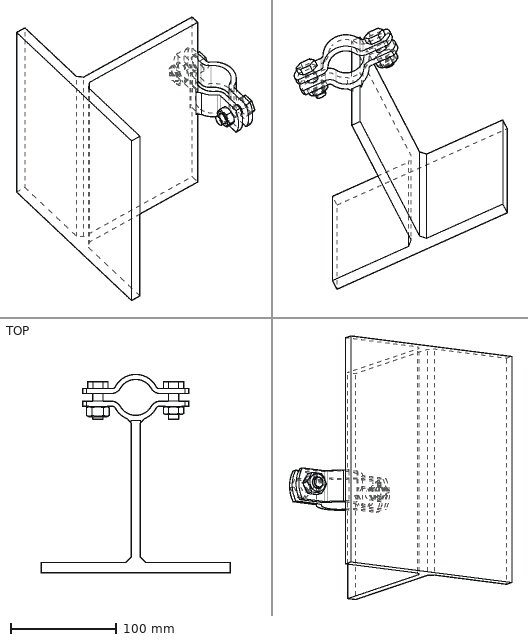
import cadquery as cq
import math

PLATE_WIDTH = 180.0
PLATE_HEIGHT = 220.0
PLATE_THICKNESS = 10.0
WEB_THICKNESS = 9.0
WEB_END_Y = 145.0
OVERALL_DEPTH = 188.93
PLATE_WELD_LEG = 5.0

RING_INNER_RADIUS = 17.0
STRAP_THICKNESS = 5.0
RING_OUTER_RADIUS = RING_INNER_RADIUS + STRAP_THICKNESS
RING_CENTER_Y = OVERALL_DEPTH - RING_OUTER_RADIUS
STRAP_WIDTH = 30.0
EAR_GAP = 7.0
EAR_TIP_X = 50.7
EAR_END_RADIUS = 30.0
CONCAVE_BEND_RADIUS = 3.0
CONVEX_BEND_RADIUS = 10.0
EAR_INNER = EAR_GAP / 2
EAR_OUTER = EAR_INNER + STRAP_THICKNESS

CLAMP_WELD_RING_X = 8.2
CLAMP_WELD_WEB_Y = 142.5

BOLT_X = 36.0
BOLT_DIAMETER = 10.0
BOLT_TIP_DIAMETER = 9.19
BOLT_TIP_Y = 145.8
HEAD_FLATS = 17.0
HEAD_HEIGHT = 6.4
SMALL_NUT_FLATS = 17.0
SMALL_NUT_HEIGHT = 8.0
SMALL_NUT_FACE_DIAMETER = 15.4
LARGE_NUT_FLATS = 19.0
LARGE_NUT_HEIGHT = 10.0
LARGE_NUT_FACE_DIAMETER = 17.2
NUT_CHAMFER_ANGLE = 30.0
COUNTERSINK_DIAMETER = 11.5
HEAD_SEAT_Y = RING_CENTER_Y + EAR_OUTER
NUT_SEAT_Y = RING_CENTER_Y - EAR_OUTER


def make_t_section():
    """Plate, web and the two flat welds in their inner corners, extruded along Z."""
    half_plate = PLATE_WIDTH / 2
    half_web = WEB_THICKNESS / 2
    weld_x = half_web + PLATE_WELD_LEG
    weld_y = PLATE_THICKNESS + PLATE_WELD_LEG
    return (
        cq.Workplane("XY", origin=(0, 0, -PLATE_HEIGHT / 2))
        .moveTo(-half_plate, 0)
        .lineTo(half_plate, 0)
        .lineTo(half_plate, PLATE_THICKNESS)
        .lineTo(weld_x, PLATE_THICKNESS)
        .lineTo(half_web, weld_y)
        .lineTo(half_web, WEB_END_Y)
        .lineTo(-half_web, WEB_END_Y)
        .lineTo(-half_web, weld_y)
        .lineTo(-weld_x, PLATE_THICKNESS)
        .lineTo(-half_plate, PLATE_THICKNESS)
        .close()
        .extrude(PLATE_HEIGHT)
    )


def mirror_x(point):
    return -point[0], point[1]


def bend_points(ear_y, bend_radius, ring_radius):
    """Start, middle and end of the bend arc tangent to an ear face and a ring arc about the origin."""
    center_distance = ring_radius + bend_radius
    center_y = ear_y + bend_radius
    center_x = math.sqrt(center_distance**2 - center_y**2)
    ring_angle = math.atan2(center_y, center_x)
    middle_angle = math.pi + (ring_angle + math.pi / 2) / 2
    middle_x = center_x + bend_radius * math.cos(middle_angle)
    middle_y = center_y + bend_radius * math.sin(middle_angle)
    joint = (ring_radius * math.cos(ring_angle), ring_radius * math.sin(ring_angle))
    return (center_x, ear_y), (middle_x, middle_y), joint


def make_rear_strap():
    """Strap on the +Y side, its ears rounded at the ends when seen along Y."""
    inner_bend_start, inner_bend, inner_joint = bend_points(EAR_INNER, CONVEX_BEND_RADIUS, RING_INNER_RADIUS)
    outer_bend_start, outer_bend, outer_joint = bend_points(EAR_OUTER, CONCAVE_BEND_RADIUS, RING_OUTER_RADIUS)
    strap = (
        cq.Workplane("XY", origin=(0, RING_CENTER_Y, -STRAP_WIDTH / 2))
        .moveTo(-EAR_TIP_X, EAR_OUTER)
        .lineTo(*mirror_x(outer_bend_start))
        .threePointArc(mirror_x(outer_bend), mirror_x(outer_joint))
        .threePointArc((0, RING_OUTER_RADIUS), outer_joint)
        .threePointArc(outer_bend, outer_bend_start)
        .lineTo(EAR_TIP_X, EAR_OUTER)
        .lineTo(EAR_TIP_X, EAR_INNER)
        .lineTo(*inner_bend_start)
        .threePointArc(inner_bend, inner_joint)
        .threePointArc((0, RING_INNER_RADIUS), mirror_x(inner_joint))
        .threePointArc(mirror_x(inner_bend), mirror_x(inner_bend_start))
        .lineTo(-EAR_TIP_X, EAR_INNER)
        .close()
        .extrude(STRAP_WIDTH)
    )
    half_width = STRAP_WIDTH / 2
    end_depth = EAR_END_RADIUS - math.sqrt(EAR_END_RADIUS**2 - half_width**2)
    corner_x = EAR_TIP_X - end_depth
    ear_outline = (
        cq.Workplane("XZ", origin=(0, RING_CENTER_Y, 0))
        .moveTo(-corner_x, half_width)
        .lineTo(corner_x, half_width)
        .threePointArc((EAR_TIP_X, 0), (corner_x, -half_width))
        .lineTo(-corner_x, -half_width)
        .threePointArc((-EAR_TIP_X, 0), (-corner_x, half_width))
        .close()
        .extrude(-2 * RING_OUTER_RADIUS)
    )
    return strap.intersect(ear_outline)


def make_clamp():
    rear_strap = make_rear_strap()
    front_strap = rear_strap.mirror("XZ", (0, RING_CENTER_Y, 0))
    return rear_strap.union(front_strap)


def make_clamp_weld():
    """Weld wedges on both sides of the web, as one trapezoid whose long side lies inside the ring wall."""
    ring_y = RING_CENTER_Y - math.sqrt(RING_OUTER_RADIUS**2 - CLAMP_WELD_RING_X**2)
    half_web = WEB_THICKNESS / 2
    return (
        cq.Workplane("XY", origin=(0, 0, -STRAP_WIDTH / 2))
        .moveTo(-half_web, CLAMP_WELD_WEB_Y)
        .lineTo(half_web, CLAMP_WELD_WEB_Y)
        .lineTo(CLAMP_WELD_RING_X, ring_y)
        .lineTo(-CLAMP_WELD_RING_X, ring_y)
        .close()
        .extrude(STRAP_WIDTH)
    )


def make_hexagon(flats, height):
    """Hexagonal prism from y = 0 toward -Y with two corners on the X axis."""
    corners = flats / math.cos(math.pi / 6)
    return cq.Workplane("XZ").polygon(6, corners).extrude(height)


def make_nut(flats, height, face_diameter):
    """Hexagon nut from y = 0 toward -Y, corners chamfered at both ends, thread countersunk."""
    face_radius = face_diameter / 2
    corner_radius = flats / math.sqrt(3)
    chamfer_depth = (corner_radius - face_radius) * math.tan(math.radians(NUT_CHAMFER_ANGLE))
    chamfer_envelope = (
        cq.Workplane("XY")
        .moveTo(0, 0)
        .lineTo(face_radius, 0)
        .lineTo(corner_radius, -chamfer_depth)
        .lineTo(corner_radius, chamfer_depth - height)
        .lineTo(face_radius, -height)
        .lineTo(0, -height)
        .close()
        .revolve(360, (0, 0, 0), (0, 1, 0))
    )
    countersink_radius = COUNTERSINK_DIAMETER / 2
    countersink_depth = countersink_radius - BOLT_DIAMETER / 2
    countersink = (
        cq.Workplane("XY")
        .moveTo(0, -height)
        .lineTo(countersink_radius, -height)
        .lineTo(BOLT_DIAMETER / 2, countersink_depth - height)
        .lineTo(0, countersink_depth - height)
        .close()
        .revolve(360, (0, 0, 0), (0, 1, 0))
    )
    return make_hexagon(flats, height).intersect(chamfer_envelope).cut(countersink)


def make_bolt():
    """Hexagon bolt on the Y axis: head on the rear ear, chamfered tip toward -Y."""
    tip_chamfer = (BOLT_DIAMETER - BOLT_TIP_DIAMETER) / 2
    head = make_hexagon(HEAD_FLATS, HEAD_HEIGHT).translate((0, HEAD_SEAT_Y + HEAD_HEIGHT, 0))
    shank = (
        cq.Workplane("XZ", origin=(0, HEAD_SEAT_Y, 0))
        .circle(BOLT_DIAMETER / 2)
        .extrude(HEAD_SEAT_Y - BOLT_TIP_Y)
        .faces("<Y")
        .chamfer(tip_chamfer)
    )
    return head.union(shank)


def make_fastener(x, nut):
    placed_nut = nut.translate((0, NUT_SEAT_Y, 0))
    return placed_nut.union(make_bolt()).translate((x, 0, 0))


large_nut = make_nut(LARGE_NUT_FLATS, LARGE_NUT_HEIGHT, LARGE_NUT_FACE_DIAMETER)
small_nut = make_nut(SMALL_NUT_FLATS, SMALL_NUT_HEIGHT, SMALL_NUT_FACE_DIAMETER)

result = (
    make_t_section()
    .union(make_clamp_weld())
    .union(make_clamp())
    .union(make_fastener(-BOLT_X, large_nut))
    .union(make_fastener(BOLT_X, small_nut))
)